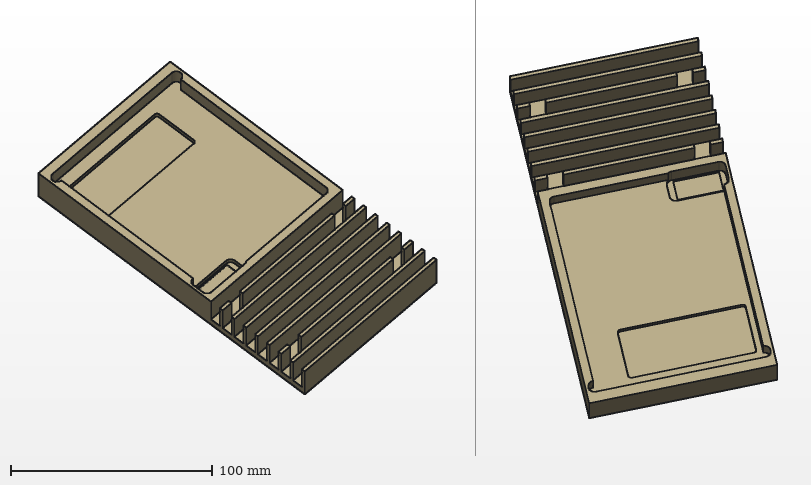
import cadquery as cq

LENGTH = 181.5
WIDTH = 95.8
HEIGHT = 18.9

FIN_COUNT = 8
FIN_PITCH = 8.0
FIN_THICKNESS = 2.0
FIN_GAP = FIN_PITCH - FIN_THICKNESS
FIN_BASE = 4.4
TRAY_LENGTH = LENGTH - FIN_COUNT * FIN_PITCH
SPLIT_FINS = (0, 5)
SPLIT_INSET = 6.4
SPLIT_LENGTH = 8.2

POCKET_X0 = 5.5
POCKET_X1 = 113.0
POCKET_Y0 = 4.5
POCKET_Y1 = WIDTH - POCKET_Y0
POCKET_DEPTH = 8.5
POCKET_FLOOR = HEIGHT - POCKET_DEPTH
POCKET_CORNER = 2.5
RELIEF_DIAMETER = 6.0
RELIEF_RADIUS = RELIEF_DIAMETER / 2

RECESS_X0 = 12.5
RECESS_X1 = 39.2
RECESS_Y0 = 7.6
RECESS_Y1 = 72.8
RECESS_CORNER = 1.5
RECESS_DEPTH = 2.5
RECESS_FLOOR = POCKET_FLOOR - RECESS_DEPTH

BAY_X0 = 101.1
BAY_X1 = 113.6
BAY_Y0 = POCKET_Y0 - RELIEF_RADIUS
BAY_Y1 = 31.5
BAY_CORNER = RELIEF_RADIUS
BAY_DEPTH = 2.5
BAY_FLOOR = POCKET_FLOOR - BAY_DEPTH

PAD_LENGTH = 10.2
PAD_Y0 = POCKET_Y0
PAD_Y1 = 28.0
PAD_THICKNESS = 0.9
PAD_X0 = (BAY_X0 + BAY_X1 - PAD_LENGTH) / 2


def block(x0, x1, y0, y1, z0, z1):
    """Axis-aligned block between two opposite corners."""
    return cq.Workplane("XY").box(x1 - x0, y1 - y0, z1 - z0, centered=False).translate((x0, y0, z0))


def main_pocket():
    """Pocket with rounded corners at the fin end and round reliefs at the outer end."""
    pocket = block(POCKET_X0, POCKET_X1, POCKET_Y0, POCKET_Y1, POCKET_FLOOR, HEIGHT)
    pocket = pocket.edges("|Z and >X").fillet(POCKET_CORNER)
    relief_x = POCKET_X0 + RELIEF_RADIUS
    reliefs = (
        cq.Workplane("XY", origin=(0, 0, POCKET_FLOOR))
        .pushPoints([(relief_x, POCKET_Y0), (relief_x, POCKET_Y1)])
        .circle(RELIEF_RADIUS)
        .extrude(POCKET_DEPTH)
    )
    return pocket.union(reliefs)


def floor_recess():
    recess = block(RECESS_X0, RECESS_X1, RECESS_Y0, RECESS_Y1, RECESS_FLOOR, POCKET_FLOOR)
    return recess.edges("|Z").fillet(RECESS_CORNER)


def bay():
    cavity = block(BAY_X0, BAY_X1, BAY_Y0, BAY_Y1, BAY_FLOOR, HEIGHT)
    return cavity.edges("|Z").fillet(BAY_CORNER)


def cut_fins(body):
    """Cut the slots that leave the fins, then interrupt the split fins."""
    for index in range(FIN_COUNT):
        slot_x = TRAY_LENGTH + index * FIN_PITCH
        body = body.cut(block(slot_x, slot_x + FIN_GAP, 0, WIDTH, FIN_BASE, HEIGHT))
    far_split_y = WIDTH - SPLIT_INSET - SPLIT_LENGTH
    for index in SPLIT_FINS:
        fin_x = TRAY_LENGTH + index * FIN_PITCH + FIN_GAP
        for y in (SPLIT_INSET, far_split_y):
            body = body.cut(block(fin_x, fin_x + FIN_THICKNESS, y, y + SPLIT_LENGTH, FIN_BASE, HEIGHT))
    return body


def make_housing():
    body = block(0, LENGTH, 0, WIDTH, 0, HEIGHT)
    body = body.cut(main_pocket()).cut(floor_recess()).cut(bay())
    return cut_fins(body)


def make_pad():
    return block(PAD_X0, PAD_X0 + PAD_LENGTH, PAD_Y0, PAD_Y1, BAY_FLOOR, BAY_FLOOR + PAD_THICKNESS)


housing = make_housing()
pad = make_pad()
result = cq.Compound.makeCompound([housing.solids().val(), pad.val()])